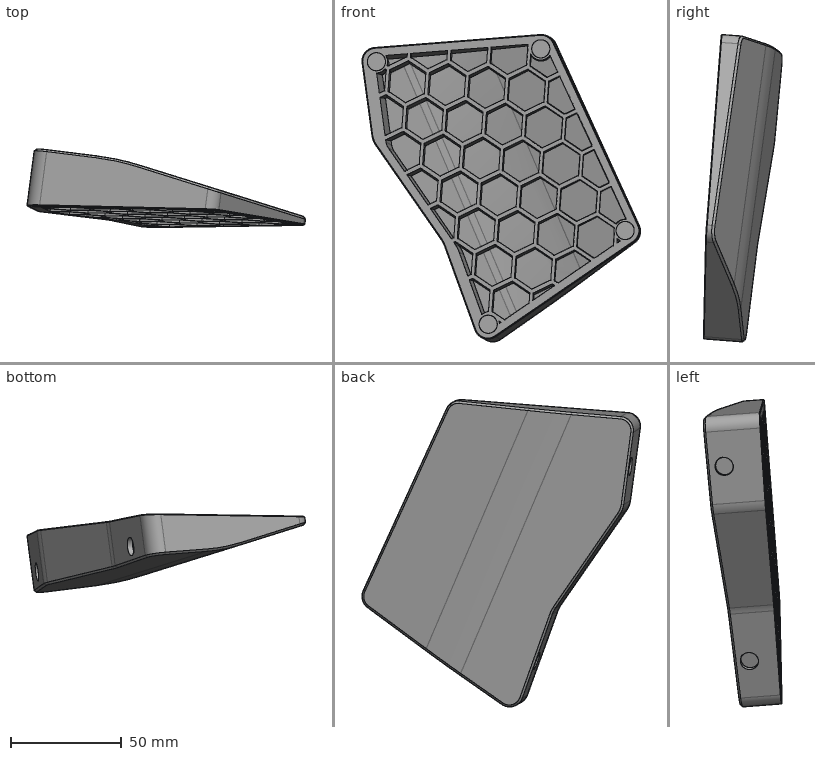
import cadquery as cq
import math


FRAME_ORIGIN = (0.0, 5.73, 0.0)
BACK_NORMAL = (0.131, 1.0, -0.077)
U_DIRECTION = (0.9117, -0.0885, 0.4012)

UPPER_LEFT = (-31.56, -80.58)
UPPER_RIGHT = (49.3, -53.1)
LOWER_RIGHT = (51.95, 47.3)
LOWER_LEFT = (-34.88, 64.65)
LOWER_BEND = (-31.87, 14.7)
UPPER_BEND = (-42.84, -40.1)
OUTLINE = [UPPER_LEFT, UPPER_RIGHT, LOWER_RIGHT, LOWER_LEFT, LOWER_BEND, UPPER_BEND]
MAIN_CORNERS = 4
CORNER_RADIUS = 6.2
LOWER_BEND_RADIUS = 12.0
UPPER_BEND_RADIUS = 10.0
BACK_CHAMFER = 1.0
RIM_CHAMFER = 0.4

BEND_U = 5.13
BEND_ANGLE = math.radians(10.9)
BACK_ARC_RADIUS = 100.0
PLATE_THICKNESS = 4.5
FLOOR_CREASE_U = -18.4
FLOOR_ARC_START_U = -15.2
FLOOR_ARC_END_U = 19.2
FLOOR_CLIMB_ANGLE = math.radians(3.1)

RIM_CENTRE_W = -19.35
RIM_SLOPE_U = 0.0883
RIM_SLOPE_V = 0.0519

WALL = 4.0
UPPER_MAGNET_WALL = 5.9
LOWER_MAGNET_WALL = 5.3
HEX_PITCH = 18.0
HEX_ROW_SPACING = 16.0
HEX_CORNER_RADIUS = 9.5
HEX_SIDES = 6
HEX_ROW_ANGLE = 27.25
HEX_ORIGIN = (-0.44, 4.7)
HEX_REACH = 5

MAGNET_DIAMETER = 8.2
WALL_MAGNET_DEPTH = 2.5
RIM_MAGNET_INSET = 6.5
RIM_MAGNET_DEPTH = 0.2
BOSS_WALL = 1.0
UPPER_MAGNET_ALONG = 19.3
UPPER_MAGNET_W = -7.86
LOWER_MAGNET_ALONG = 25.4
LOWER_MAGNET_W = -7.02

REACH = 200.0


def direction(start, end):
    """Unit vector from start to end."""
    length = math.dist(start, end)
    return ((end[0] - start[0]) / length, (end[1] - start[1]) / length)


def inset_polygon(points, distances):
    """Move side i (from point i to point i + 1) of a polygon inwards by distances[i]."""
    sides = []
    for i, start in enumerate(points):
        du, dv = direction(start, points[(i + 1) % len(points)])
        sides.append((start[0] - dv * distances[i], start[1] + du * distances[i], du, dv))
    corners = []
    for i, (u1, v1, du1, dv1) in enumerate(sides):
        u0, v0, du0, dv0 = sides[i - 1]
        step = ((u1 - u0) * dv1 - (v1 - v0) * du1) / (du0 * dv1 - dv0 * du1)
        corners.append((u0 + step * du0, v0 + step * dv0))
    return corners


RIM_PLANE = cq.Plane(
    origin=(0, 0, RIM_CENTRE_W),
    xDir=(1, 0, RIM_SLOPE_U),
    normal=(-RIM_SLOPE_U, -RIM_SLOPE_V, 1),
)


def on_rim(u, v):
    """Rim plane coordinates of the rim point at (u, v)."""
    w = RIM_CENTRE_W + RIM_SLOPE_U * u + RIM_SLOPE_V * v
    local = RIM_PLANE.toLocalCoords(cq.Vector(u, v, w))
    return (local.x, local.y)


def prism(points):
    return cq.Workplane("XY").workplane(offset=-REACH / 2).polyline(points).close().extrude(REACH)


def round_edges(solid, points, radius):
    """Round the edges of a prism that stand on the given points."""
    for u, v in points:
        solid = solid.edges(cq.selectors.NearestToPointSelector((u, v, 0))).fillet(radius)
    return solid


def below_surface(flat_points, start_angle, radius):
    """Solid below a surface that runs along flat_points, bends down in an arc, then slopes away.

    The arc begins at the last of flat_points, sloping down at start_angle, and ends at BEND_ANGLE.
    """
    start_u, start_w = flat_points[-1]
    centre_u = start_u - radius * math.sin(start_angle)
    centre_w = start_w - radius * math.cos(start_angle)

    def arc_point(angle):
        return (centre_u + radius * math.sin(angle), centre_w + radius * math.cos(angle))

    middle = arc_point((start_angle + BEND_ANGLE) / 2)
    end_u, end_w = arc_point(BEND_ANGLE)
    far_w = end_w - math.tan(BEND_ANGLE) * (REACH - end_u)
    return (
        cq.Workplane("XZ")
        .workplane(offset=-REACH / 2)
        .polyline([(-REACH, -REACH), (-REACH, flat_points[0][1])] + flat_points)
        .threePointArc(middle, (end_u, end_w))
        .lineTo(REACH, far_w)
        .lineTo(REACH, -REACH)
        .close()
        .extrude(REACH)
    )


def below_back():
    arc_start_u = BEND_U - BACK_ARC_RADIUS * math.tan(BEND_ANGLE / 2)
    return below_surface([(arc_start_u, 0)], 0, BACK_ARC_RADIUS)


def below_floor():
    """The floor is flat up to a shallow crease, then climbs slightly into its own long arc."""
    rise = (FLOOR_ARC_START_U - FLOOR_CREASE_U) * math.tan(FLOOR_CLIMB_ANGLE)
    crease = (FLOOR_CREASE_U, -PLATE_THICKNESS)
    arc_start = (FLOOR_ARC_START_U, -PLATE_THICKNESS + rise)
    run = FLOOR_ARC_END_U - FLOOR_ARC_START_U
    radius = run / (math.sin(FLOOR_CLIMB_ANGLE) + math.sin(BEND_ANGLE))
    return below_surface([crease, arc_start], -FLOOR_CLIMB_ANGLE, radius)


def body():
    solid = prism(OUTLINE)
    solid = round_edges(solid, OUTLINE[:MAIN_CORNERS], CORNER_RADIUS)
    solid = round_edges(solid, [LOWER_BEND], LOWER_BEND_RADIUS)
    solid = round_edges(solid, [UPPER_BEND], UPPER_BEND_RADIUS)
    solid = solid.intersect(below_back())
    above_rim = cq.Workplane(RIM_PLANE).rect(2 * REACH, 2 * REACH).extrude(REACH)
    solid = solid.intersect(above_rim)
    rim_side = cq.selectors.DirectionMinMaxSelector(RIM_PLANE.zDir, False)
    solid = solid.faces(rim_side).edges().chamfer(RIM_CHAMFER)
    flat_back = cq.selectors.NearestToPointSelector((FLOOR_CREASE_U, 0, 0))
    return solid.faces(flat_back).edges("<X").chamfer(BACK_CHAMFER)


def rim_magnet_centres():
    """Rim plane points in the four main corners, equally far from both neighbouring sides."""
    inset = inset_polygon(OUTLINE, [RIM_MAGNET_INSET] * len(OUTLINE))
    return [on_rim(u, v) for u, v in inset[:MAIN_CORNERS]]


def honeycomb_cells():
    """Hexagonal columns standing on the rim plane and running through the wedge."""
    hexagon = []
    for k in range(HEX_SIDES):
        angle = 2 * math.pi * (k + 0.5) / HEX_SIDES
        hexagon.append((HEX_CORNER_RADIUS * math.cos(angle), HEX_CORNER_RADIUS * math.sin(angle)))
    column = cq.Workplane("XY").polyline(hexagon).close().extrude(REACH / 2).val()
    grid = cq.Workplane(RIM_PLANE).center(*on_rim(*HEX_ORIGIN)).transformed(rotate=(0, 0, HEX_ROW_ANGLE))
    columns = []
    for row in range(-HEX_REACH, HEX_REACH + 1):
        stagger = HEX_PITCH / 2 * (row % 2)
        for place in range(-HEX_REACH, HEX_REACH + 1):
            centre = cq.Vector(HEX_PITCH * place + stagger, HEX_ROW_SPACING * row)
            columns.append(column.moved(grid.plane.location * cq.Location(centre)))
    return cq.Workplane(cq.Compound.makeCompound(columns))


def cavity():
    distances = [WALL, WALL, WALL, LOWER_MAGNET_WALL, WALL, UPPER_MAGNET_WALL]
    inner = inset_polygon(OUTLINE, distances)
    space = prism(inner)
    inner_lower_bend, inner_upper_bend = inner[MAIN_CORNERS:]
    space = round_edges(space, [inner_lower_bend], LOWER_BEND_RADIUS + WALL)
    space = round_edges(space, [inner_upper_bend], UPPER_BEND_RADIUS - WALL)
    space = space.intersect(below_floor())
    boss_radius = MAGNET_DIAMETER / 2 + BOSS_WALL
    bosses = cq.Workplane(RIM_PLANE).pushPoints(rim_magnet_centres()).circle(boss_radius).extrude(REACH / 2)
    return space.cut(bosses).intersect(honeycomb_cells())


def rim_magnets():
    return (
        cq.Workplane(RIM_PLANE)
        .pushPoints(rim_magnet_centres())
        .circle(MAGNET_DIAMETER / 2)
        .extrude(RIM_MAGNET_DEPTH)
    )


def wall_magnet(start, end, along, w):
    """Pocket square to the wall that runs from start to end, at a distance along it from start."""
    du, dv = direction(start, end)
    centre = (start[0] + along * du, start[1] + along * dv, w)
    plane = cq.Plane(origin=centre, xDir=(0, 0, 1), normal=(-dv, du, 0))
    return cq.Workplane(plane).circle(MAGNET_DIAMETER / 2).extrude(WALL_MAGNET_DEPTH)


def build():
    part = body().cut(cavity()).cut(rim_magnets())
    part = part.cut(wall_magnet(UPPER_BEND, UPPER_LEFT, UPPER_MAGNET_ALONG, UPPER_MAGNET_W))
    part = part.cut(wall_magnet(LOWER_LEFT, LOWER_BEND, LOWER_MAGNET_ALONG, LOWER_MAGNET_W))
    tilted_frame = cq.Plane(origin=FRAME_ORIGIN, xDir=U_DIRECTION, normal=BACK_NORMAL)
    return cq.Workplane(part.val().moved(cq.Location(tilted_frame)))


result = build()